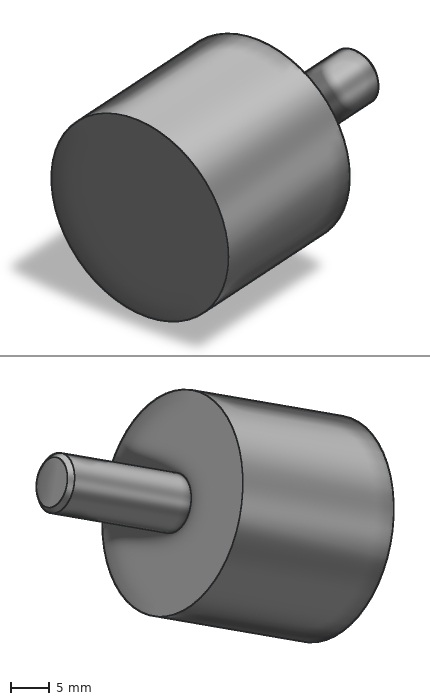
import cadquery as cq

total_length = 45.0
buffer_diameter = 30.0
buffer_length = 25.0
stud_diameter = 8.0
tip_chamfer = 0.68

stud_length = total_length - buffer_length
buffer_front_y = -total_length / 2
buffer_back_y = buffer_front_y + buffer_length


def cylinder_along_y(diameter, start_y, length):
    """Solid cylinder on the Y axis, growing toward +Y from start_y."""
    return cq.Workplane("XZ").workplane(offset=-start_y).circle(diameter / 2).extrude(-length)


def make_buffer():
    """Plain cylindrical buffer."""
    return cylinder_along_y(buffer_diameter, buffer_front_y, buffer_length)


def make_stud():
    """Stud seated on the back face of the buffer, with a chamfered free end."""
    stud = cylinder_along_y(stud_diameter, buffer_back_y, stud_length)
    return stud.faces(">Y").chamfer(tip_chamfer)


buffer = make_buffer()
stud = make_stud()

result = cq.Compound.makeCompound([buffer.val(), stud.val()])